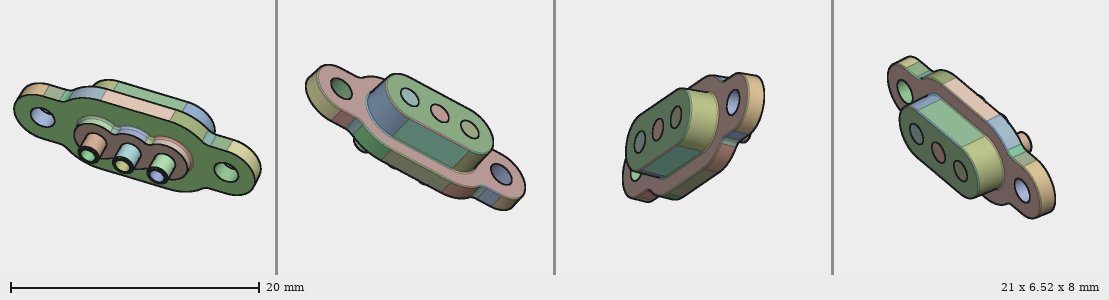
import cadquery as cq
import math


overall_length = 21.0
flange_height = 8.0
flange_thickness = 1.5
ear_height = 5.0
ear_hole_diameter = 2.1
ear_corner_radius = 1.0

block_height = 5.0
block_depth = 2.5

draft_angle = 2.0
edge_fillet = 0.1

hub_lobe_radius = 1.93
hub_depth = 0.8
hub_valley_radius = 0.5
hub_root_fillet = 0.19

pin_count = 3
pin_pitch = 3.0
pin_diameter = 1.8
pin_protrusion = 1.72
pin_chamfer = 0.1
bore_diameter = 1.3
bore_depth = pin_protrusion
bore_tip_angle = 118.0

pin_span = pin_pitch * (pin_count - 1)
pin_places = [pin_pitch * i - pin_span / 2 for i in range(pin_count)]
ear_center = (overall_length - ear_height) / 2
block_back = flange_thickness + block_depth
block_length = pin_span + block_height
hub_height = 2 * hub_lobe_radius
hub_length = pin_span + hub_height
hub_front = -hub_depth
pin_tip = hub_front - pin_protrusion


def plane_at(y):
    """Work plane across the Y axis at y, facing +Y."""
    return cq.Workplane("XZ", origin=(0, y, 0)).transformed(rotate=(180, 0, 0))


def cylinder(x, diameter, start, end):
    """Cylinder along Y from start to end, centred on (x, 0)."""
    return plane_at(start).center(x, 0).circle(diameter / 2).extrude(end - start)


def drafted_slab(length, height, start, thickness):
    """Round-ended slab whose outer wall leans inwards towards +Y."""
    return plane_at(start).slot2D(length, height).extrude(thickness, taper=draft_angle)


def edges_within(body, x_limit, z_limit, y_low, y_high):
    """Edges of the body whose centres lie inside a box around the Y axis."""
    box = cq.selectors.BoxSelector((-x_limit, y_low, -z_limit), (x_limit, y_high, z_limit))
    return body.edges(box)


def make_flange():
    """Round-ended body crossed by a longer, lower slab that forms the ears."""
    body = drafted_slab(pin_span + flange_height, flange_height, 0, flange_thickness)
    ears = drafted_slab(overall_length, ear_height, 0, flange_thickness)
    flange = body.union(ears)
    x_limit = ear_center - ear_corner_radius
    z_limit = (ear_height + flange_height) / 4
    corners = edges_within(flange, x_limit, z_limit, flange_thickness / 4, flange_thickness * 3 / 4)
    flange = corners.fillet(ear_corner_radius)
    return flange.faces(">Y").edges().fillet(edge_fillet)


def make_block():
    block = drafted_slab(block_length, block_height, flange_thickness, block_depth)
    return block.faces(">Y").edges().fillet(edge_fillet)


def make_hub():
    """Row of merged round lobes with rounded valleys between them."""
    lobes = [cylinder(x, hub_height, hub_front, 0) for x in pin_places]
    hub = lobes[0]
    for lobe in lobes[1:]:
        hub = hub.union(lobe)
    return hub.edges("|Y").fillet(hub_valley_radius)


def fillet_root(body, y, length, height, radius):
    """Round the corner where a raised shape of this length and height meets the flange at y."""
    x_limit = (length + radius) / 2
    z_limit = (height + radius) / 2
    root = edges_within(body, x_limit, z_limit, y - radius / 2, y + radius / 2)
    return root.fillet(radius)


def make_housing():
    housing = make_flange().union(make_block()).union(make_hub())
    housing = fillet_root(housing, flange_thickness, block_length, block_height, edge_fillet)
    housing = fillet_root(housing, 0, hub_length, hub_height, hub_root_fillet)
    for x in (-ear_center, ear_center):
        housing = housing.cut(cylinder(x, ear_hole_diameter, 0, flange_thickness))
    for x in pin_places:
        housing = housing.cut(cylinder(x, pin_diameter, hub_front, block_back))
    return housing


def make_bore_tip(x):
    """Cone left by the drill below the bore."""
    radius = bore_diameter / 2
    depth = radius / math.tan(math.radians(bore_tip_angle / 2))
    base = cq.Vector(x, pin_tip + bore_depth, 0)
    return cq.Workplane(cq.Solid.makeCone(radius, 0, depth, base, cq.Vector(0, 1, 0)))


def make_pin(x):
    """Pin that fills its hole in the housing, with a drilled solder cup in the free end."""
    pin = cylinder(x, pin_diameter, pin_tip, block_back)
    pin = pin.faces("<Y").edges().chamfer(pin_chamfer)
    bore = cylinder(x, bore_diameter, pin_tip, pin_tip + bore_depth)
    return pin.cut(bore).cut(make_bore_tip(x))


housing = make_housing()
pins = [make_pin(x) for x in pin_places]

result = cq.Compound.makeCompound([housing.val(), *[pin.val() for pin in pins]])